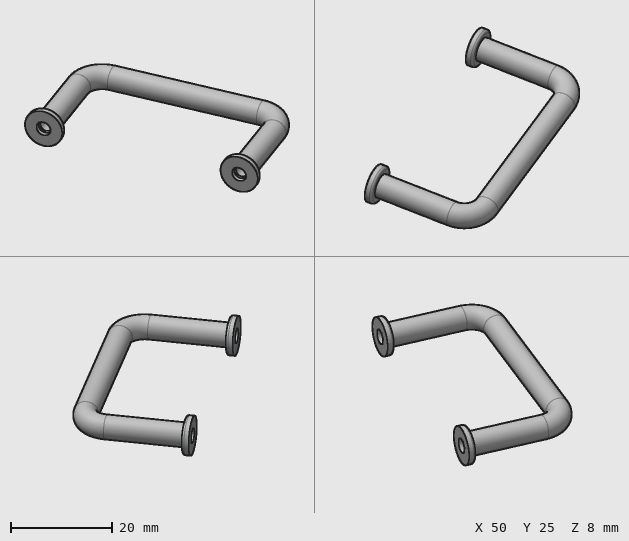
import cadquery as cq
import math

length = 50.0
depth = 25.0

rod_diameter = 5.0
bend_radius = 5.0

foot_diameter = 8.0
foot_thickness = 1.5
foot_fillet = 0.5

clearance_diameter = 3.0
clearance_depth = 1.0
core_diameter = 2.45
hole_depth = 10.0
tip_angle = 118.0

leg_x = (length - foot_diameter) / 2
grip_y = depth - rod_diameter / 2


def make_rod():
    """Sweep the round section up one leg, along the grip and down the other."""
    bend_start_y = grip_y - bend_radius
    grip_end_x = leg_x - bend_radius
    corner_offset = bend_radius * math.sqrt(0.5)
    bend_mid_x = grip_end_x + corner_offset
    bend_mid_y = bend_start_y + corner_offset
    path = (
        cq.Workplane("XY")
        .moveTo(-leg_x, foot_thickness)
        .lineTo(-leg_x, bend_start_y)
        .threePointArc((-bend_mid_x, bend_mid_y), (-grip_end_x, grip_y))
        .lineTo(grip_end_x, grip_y)
        .threePointArc((bend_mid_x, bend_mid_y), (leg_x, bend_start_y))
        .lineTo(leg_x, foot_thickness)
    )
    section = cq.Workplane("XZ", origin=(-leg_x, foot_thickness, 0)).circle(rod_diameter / 2)
    return section.sweep(path)


def make_foot(x):
    """Disc with its face at Y = 0 and a rounded edge on the rod side."""
    return (
        cq.Workplane("XZ", origin=(x, 0, 0))
        .circle(foot_diameter / 2)
        .extrude(-foot_thickness)
        .edges(">Y")
        .fillet(foot_fillet)
    )


def make_screw_hole(x):
    """Clearance bore in the foot, chamfered down to a core bore with a conical tip."""
    clearance_radius = clearance_diameter / 2
    core_radius = core_diameter / 2
    core_start = clearance_depth + clearance_radius - core_radius
    tip_depth = core_radius / math.tan(math.radians(tip_angle / 2))
    return (
        cq.Workplane("XY", origin=(x, 0, 0))
        .moveTo(0, 0)
        .lineTo(clearance_radius, 0)
        .lineTo(clearance_radius, clearance_depth)
        .lineTo(core_radius, core_start)
        .lineTo(core_radius, hole_depth)
        .lineTo(0, hole_depth + tip_depth)
        .close()
        .revolve(360, (0, 0, 0), (0, 1, 0))
    )


result = make_rod()
for x in (-leg_x, leg_x):
    result = result.union(make_foot(x)).cut(make_screw_hole(x))